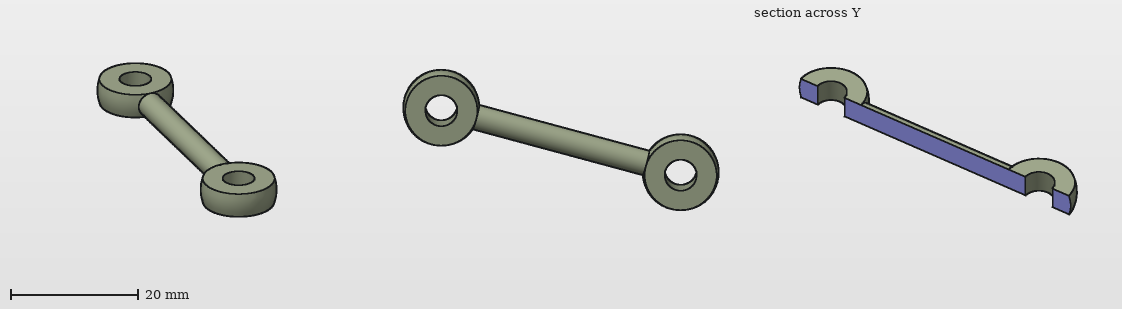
import cadquery as cq

eye_spacing = 39.0
eye_diameter = 12.0
thickness = 4.0
hole_diameter = 5.0
rod_diameter = thickness

eye_centers = [(-eye_spacing / 2, 0), (eye_spacing / 2, 0)]


def make_eye(center):
    """Sphere cut flat on top and bottom, leaving a crowned disc."""
    slab = cq.Workplane("XY").box(eye_diameter, eye_diameter, thickness)
    ball = cq.Workplane("XY").sphere(eye_diameter / 2)
    return ball.intersect(slab).translate((*center, 0))


def make_rod():
    """Round rod along X, running from one eye center to the other."""
    start_plane = cq.Workplane("YZ").workplane(offset=-eye_spacing / 2)
    return start_plane.circle(rod_diameter / 2).extrude(eye_spacing)


def make_holes():
    """Vertical cylinders that bore through both eyes."""
    bottom_face = cq.Workplane("XY").workplane(offset=-thickness / 2)
    hole_profiles = bottom_face.pushPoints(eye_centers).circle(hole_diameter / 2)
    return hole_profiles.extrude(thickness)


body = make_rod()
for eye_center in eye_centers:
    body = body.union(make_eye(eye_center))

result = body.cut(make_holes())